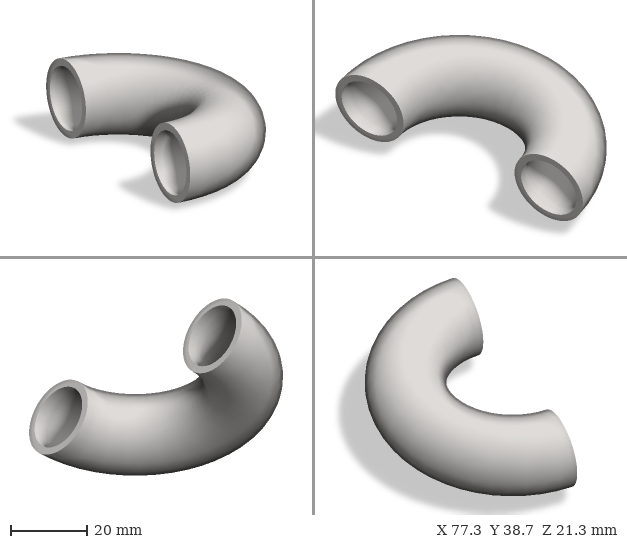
import cadquery as cq

overall_width = 77.3
tube_outer_diameter = 21.3
wall_thickness = 2.0
bend_angle = 180.0

tube_inner_diameter = tube_outer_diameter - 2 * wall_thickness
bend_radius = (overall_width - tube_outer_diameter) / 2

tube_section = (
    cq.Workplane("XZ")
    .center(-bend_radius, 0)
    .circle(tube_outer_diameter / 2)
    .circle(tube_inner_diameter / 2)
)

axis_start = (bend_radius, 0)
axis_end = (bend_radius, -1)
result = tube_section.revolve(bend_angle, axis_start, axis_end)